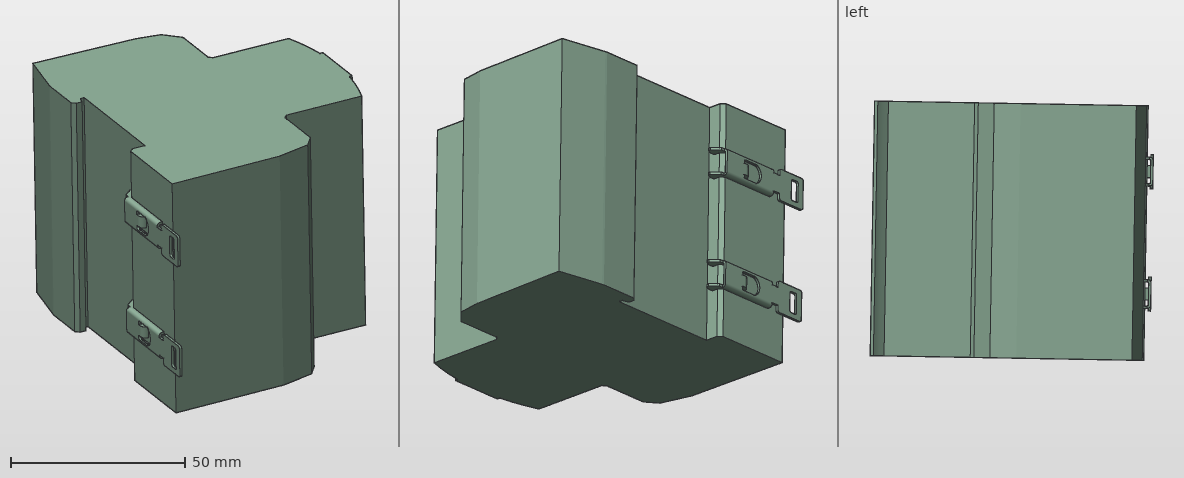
import cadquery as cq

height = 73.1
lean_angle = 1.0

tower_half_width = 21.8
tower_edge_y = 69.2
crown_radius = 67.7
plateau_half_width = 8.8
plateau_y = 73.2
plateau_step = 1.0

shoulder_y = 43.4
root_chamfer = 1.05
left_bevel_top_x = -37.9
left_bevel_end = (-42.6, 38.8)
left_taper_start = (-44.0, 31.2)
right_bevel_top_x = 38.2
right_bevel_end = (42.0, 40.4)
right_taper_start = (44.4, 30.05)

back_y = -5.3
right_back_x = 44.6
slot_right_x = 18.7
slot_chamfer_width = 1.2
slot_chamfer_depth = 1.2
left_back_corner = (-44.8, -1.9)
left_foot_x = -29.1
left_foot_facet_start = (-29.8, -4.8)
left_foot_y = -4.9
lip_x = -15.55
lip_chamfer = 1.1
lip_top_y = -1.8
undercut_x = -17.6
undercut_y = -1.2

clip_middle_z = 36.6
clip_spacing = 35.1
sheet = 0.8
clip_standoff = 1.7
clip_outer_y = back_y - clip_standoff
clip_inner_y = clip_outer_y + sheet
embed = 0.2

channel_start_x = 18.9
channel_end_x = 38.3
channel_width = 8.4
bend_radius = 1.1
neck_width = 5.6

head_start_x = 40.7
head_end_x = 50.6
head_width = 9.8
head_corner = 0.8
window_start_x = 45.7
window_end_x = 48.5
window_width = 6.6
window_corner = 0.6

prong_tip_x = 15.55
prong_tip_y = -3.5
prong_top_x = 17.0
prong_top_y = -2.1
prong_heel_x = 17.6

opening_start_x = 26.0
opening_straight_end_x = 31.1
opening_end_x = 33.1
opening_width = 5.9
opening_corner = 0.5
tongue_width = 3.5
tongue_bend_x = 27.0
tongue_toe_x = tongue_bend_x + clip_standoff


def make_housing():
    """Prism whose outline runs clockwise from the left end of the plateau."""
    plateau_foot_y = plateau_y - plateau_step
    outline = (
        cq.Workplane("XY")
        .moveTo(-plateau_half_width, plateau_y)
        .lineTo(plateau_half_width, plateau_y)
        .lineTo(plateau_half_width, plateau_foot_y)
        .radiusArc((tower_half_width, tower_edge_y), crown_radius)
        .lineTo(tower_half_width, shoulder_y + root_chamfer)
        .lineTo(tower_half_width + root_chamfer, shoulder_y)
        .lineTo(right_bevel_top_x, shoulder_y)
        .lineTo(*right_bevel_end)
        .lineTo(*right_taper_start)
        .lineTo(right_back_x, back_y)
        .lineTo(slot_right_x + slot_chamfer_width, back_y)
        .lineTo(slot_right_x, back_y + slot_chamfer_depth)
        .lineTo(slot_right_x, 0)
        .lineTo(undercut_x, 0)
        .lineTo(undercut_x, undercut_y)
        .lineTo(lip_x, lip_top_y)
        .lineTo(lip_x, left_foot_y + lip_chamfer)
        .lineTo(lip_x - lip_chamfer, left_foot_y)
        .lineTo(left_foot_x, left_foot_y)
        .lineTo(*left_foot_facet_start)
        .lineTo(*left_back_corner)
        .lineTo(*left_taper_start)
        .lineTo(*left_bevel_end)
        .lineTo(left_bevel_top_x, shoulder_y)
        .lineTo(-tower_half_width - root_chamfer, shoulder_y)
        .lineTo(-tower_half_width, shoulder_y + root_chamfer)
        .lineTo(-tower_half_width, tower_edge_y)
        .radiusArc((-plateau_half_width, plateau_foot_y), crown_radius)
        .close()
    )
    return outline.extrude(height)


def plate(start_x, end_x, width):
    """Flat piece of clip sheet, centred on Z = 0."""
    return cq.Workplane("XY").box(
        end_x - start_x, sheet, width, centered=(False, False, True)
    ).translate((start_x, clip_outer_y, 0))


def make_channel():
    """U-shaped length of the clip with its two flanges resting on the back."""
    length = channel_end_x - channel_start_x
    depth = clip_standoff + embed

    def block(width, outer_y, radius):
        return (
            cq.Workplane("XY")
            .box(length, depth, width, centered=(False, False, True))
            .translate((channel_start_x, outer_y, 0))
            .edges("|X and <Y")
            .fillet(radius)
        )

    outside = block(channel_width, clip_outer_y, bend_radius)
    inside = block(channel_width - 2 * sheet, clip_inner_y, bend_radius - sheet)
    return outside.cut(inside)


def make_prong(bottom_z):
    """Hook at the end of a flange, reaching into the rail slot along its wall."""
    heel_y = clip_outer_y + bend_radius
    root_x = slot_right_x + slot_chamfer_width + embed
    return (
        cq.Workplane("XY")
        .workplane(offset=bottom_z)
        .moveTo(root_x, heel_y)
        .lineTo(prong_heel_x, heel_y)
        .lineTo(prong_tip_x, prong_tip_y)
        .lineTo(prong_tip_x, (prong_tip_y + prong_top_y) / 2)
        .lineTo(prong_top_x, prong_top_y)
        .lineTo(root_x, prong_top_y)
        .close()
        .extrude(sheet)
    )


def make_opening():
    """D-shaped hole through the clip sheet."""
    half = opening_width / 2
    return (
        cq.Workplane("XZ", origin=(0, clip_inner_y, 0))
        .moveTo(opening_start_x, -half)
        .lineTo(opening_straight_end_x, -half)
        .threePointArc((opening_end_x, 0), (opening_straight_end_x, half))
        .lineTo(opening_start_x, half)
        .close()
        .extrude(sheet)
        .edges("|Y and <X")
        .fillet(opening_corner)
    )


def make_tongue():
    """Strip in the D-shaped hole that rounds over and ends on the back."""
    return (
        cq.Workplane("XY")
        .workplane(offset=-tongue_width / 2)
        .moveTo(opening_start_x, clip_outer_y)
        .lineTo(tongue_bend_x, clip_outer_y)
        .radiusArc((tongue_toe_x, back_y), -clip_standoff)
        .lineTo(tongue_toe_x, back_y + embed)
        .lineTo(tongue_bend_x, back_y + embed)
        .lineTo(opening_start_x, clip_inner_y)
        .close()
        .extrude(tongue_width)
    )


def make_clip():
    head = plate(head_start_x, head_end_x, head_width).edges("|Y").fillet(head_corner)
    window = plate(window_start_x, window_end_x, window_width).edges("|Y").fillet(window_corner)
    neck = plate(channel_end_x - sheet, head_start_x + sheet, neck_width)
    clip = make_channel().union(neck).union(head).cut(window).cut(make_opening())
    clip = clip.union(make_tongue())
    for bottom_z in (-channel_width / 2, channel_width / 2 - sheet):
        clip = clip.union(make_prong(bottom_z))
    return clip


upright = make_housing()
for side in (-1, 1):
    clip_z = clip_middle_z + side * clip_spacing / 2
    upright = upright.union(make_clip().translate((0, 0, clip_z)))

result = upright.rotate((0, 0, 0), (1, 0, 0), lean_angle)